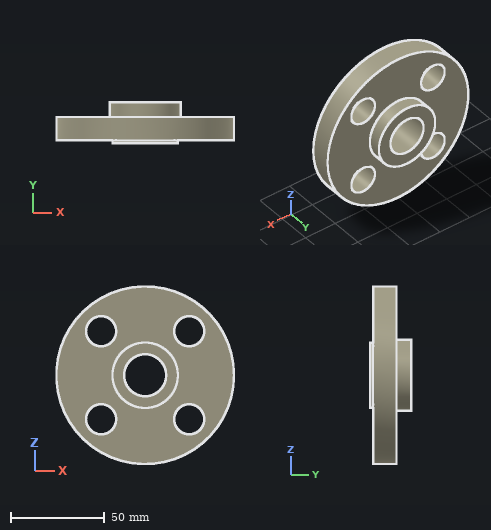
import cadquery as cq

flange_diameter = 95.25
total_length = 22.2

face_diameter = 35.05
face_height = 1.6
hub_diameter = 38.1
hub_height = 7.9
flange_thickness = total_length - face_height - hub_height

bore_diameter = 22.4
bolt_hole_diameter = 16.0
bolt_circle_diameter = 66.7
bolt_count = 4
first_bolt_angle = 180 / bolt_count


def cylinder_along_y(diameter, start_y, length):
    """Solid cylinder on the flange axis, growing from start_y toward +Y."""
    return cq.Workplane("XZ", origin=(0, start_y, 0)).circle(diameter / 2).extrude(-length)


face = cylinder_along_y(face_diameter, 0, face_height)
flange = cylinder_along_y(flange_diameter, face_height, flange_thickness)
hub = cylinder_along_y(hub_diameter, face_height + flange_thickness, hub_height)
body = face.union(flange).union(hub)

bore = cylinder_along_y(bore_diameter, 0, total_length)
bolt_holes = (
    cq.Workplane("XZ")
    .polarArray(bolt_circle_diameter / 2, first_bolt_angle, 360, bolt_count)
    .circle(bolt_hole_diameter / 2)
    .extrude(-total_length)
)

result = body.cut(bore).cut(bolt_holes)